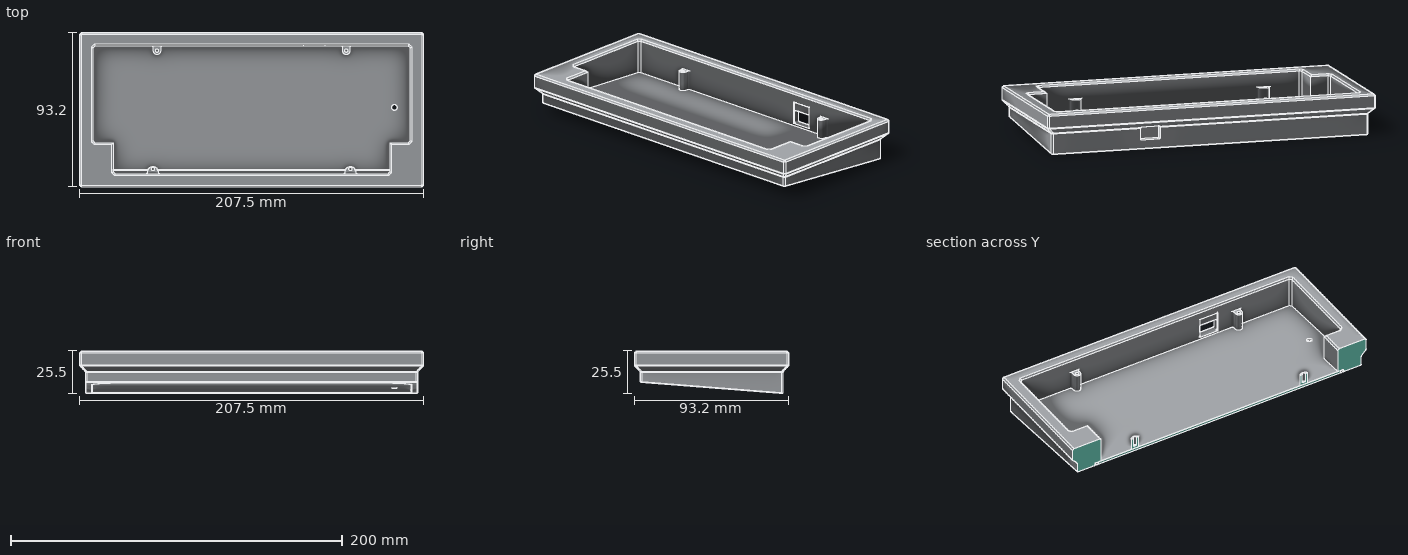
import cadquery as cq
import math

LENGTH = 207.5
DEPTH = 93.2
HEIGHT = 25.5

RIM_HEIGHT = 8.7
TAPER_HEIGHT = 3.7
TAPER_INSET = 3.5
EDGE_CHAMFER = 1.0
CORNER_CHAMFER = 1.0
BEND_CHAMFER = 0.35
UNDERSIDE_CHAMFER = 0.5
UNDERSIDE_TILT = 4.5
RIM_BOTTOM = HEIGHT - RIM_HEIGHT
BASE_BACK = DEPTH / 2 - TAPER_INSET

CAVITY_LENGTH = 191.4
CAVITY_DEPTH = 77.2
CAVITY_CORNER = 1.2
NOTCH_WIDTH = 12.2
NOTCH_DEPTH = 18.7
FLOOR_TILT = 3.3
FLOOR_BACK_HEIGHT = 4.2
CAVITY_BACK = CAVITY_DEPTH / 2
CAVITY_FRONT = -CAVITY_BACK
MOUTH_CHAMFER = 1.0

POST_TOP = 16.2
SCREW_DEPTH = 6.2
BACK_POST_X = 57.0
BACK_POST_Y = 35.7
BACK_POST_DIAMETER = 4.5
BACK_SCREW_DIAMETER = 2.0
FRONT_POST_X = 59.5
FRONT_POST_Y = -37.5
FRONT_POST_DIAMETER = 6.6
FRONT_SCREW_Y = -35.7
FRONT_SCREW_DIAMETER = 2.0
POST_FILLET = 1.0
POST_EMBEDDING = 1.0

PORT_X = 37.8
RECESS_WIDTH = 12.9
RECESS_BOTTOM = 5.6
RECESS_HEIGHT = 13.7
RECESS_DEPTH = 1.0
OPENING_WIDTH = 12.5
OPENING_HEIGHT = 8.0
OPENING_RADIUS = 0.8

PLATE_LENGTH = 193.5
PLATE_DEPTH = 73.9
PLATE_RADIUS = 14.5
PLATE_THICKNESS = 1.7
PLATE_GAP = 0.6

RESET_X = 86.1
RESET_Y = 1.5
RESET_DIAMETER = 3.3

EDGE_TOLERANCE = 0.2
SIDES = (-1, 1)


def tilted_plane(tilt, level_y, level):
    """Plane that rises toward the front by tilt degrees and has the height level at level_y."""
    slope = math.tan(math.radians(tilt))
    return cq.Plane(origin=(0, 0, level + level_y * slope), xDir=(1, 0, 0), normal=(0, slope, 1))


UNDERSIDE_PLANE = tilted_plane(UNDERSIDE_TILT, BASE_BACK - UNDERSIDE_CHAMFER, 0)
FLOOR_PLANE = tilted_plane(FLOOR_TILT, CAVITY_BACK, FLOOR_BACK_HEIGHT)
BURIED_PLANE = tilted_plane(FLOOR_TILT, CAVITY_BACK, FLOOR_BACK_HEIGHT - POST_EMBEDDING)


def above(plane):
    """Space on the upper side of a tilted plane."""
    return cq.Workplane(plane).rect(2 * LENGTH, 2 * DEPTH).extrude(3 * HEIGHT)


def clipped_rectangle(inset):
    """Outer outline moved inward by inset, with chamfered corners."""
    return (
        cq.Sketch()
        .rect(LENGTH - 2 * inset, DEPTH - 2 * inset)
        .vertices()
        .chamfer(CORNER_CHAMFER)
    )


def outer_body():
    rim = (
        cq.Workplane("XY", origin=(0, 0, RIM_BOTTOM))
        .placeSketch(clipped_rectangle(0))
        .extrude(RIM_HEIGHT)
        .faces(">Z")
        .chamfer(EDGE_CHAMFER)
    )
    taper = (
        cq.Workplane("XY", origin=(0, 0, RIM_BOTTOM - TAPER_HEIGHT))
        .placeSketch(
            clipped_rectangle(TAPER_INSET),
            clipped_rectangle(0).moved(cq.Location(cq.Vector(0, 0, TAPER_HEIGHT))),
        )
        .loft(ruled=True)
    )
    base = (
        cq.Workplane("XY", origin=(0, 0, RIM_BOTTOM - TAPER_HEIGHT))
        .placeSketch(clipped_rectangle(TAPER_INSET))
        .extrude(-HEIGHT)
    )
    base = base.intersect(above(UNDERSIDE_PLANE)).faces("<Z").chamfer(UNDERSIDE_CHAMFER)
    body = base.union(taper).union(rim)
    for bend_height in (RIM_BOTTOM, RIM_BOTTOM - TAPER_HEIGHT):
        body = body.edges(cq.selectors.BoxSelector(
            (-LENGTH, -DEPTH, bend_height - EDGE_TOLERANCE),
            (LENGTH, DEPTH, bend_height + EDGE_TOLERANCE),
        )).chamfer(BEND_CHAMFER)
    return body


def cavity_outline(grow):
    """Outline of the cavity, moved outward by grow; both front corners are stepped inward."""
    half = CAVITY_LENGTH / 2 + grow
    back = CAVITY_BACK + grow
    front = CAVITY_FRONT - grow
    notch_x = half - NOTCH_WIDTH
    notch_y = front + NOTCH_DEPTH
    corner = CAVITY_CORNER + grow * (2 - math.sqrt(2))
    right_side = [
        (notch_x - corner, front),
        (notch_x, front + corner),
        (notch_x, notch_y),
        (half - corner, notch_y),
        (half, notch_y + corner),
        (half, back - corner),
        (half - corner, back),
    ]
    left_side = [(-x, y) for x, y in reversed(right_side)]
    return right_side + left_side


def cavity():
    well = cq.Workplane("XY").polyline(cavity_outline(0)).close().extrude(HEIGHT)
    mouth = (
        cq.Workplane("XY", origin=(0, 0, HEIGHT - MOUTH_CHAMFER))
        .polyline(cavity_outline(0))
        .close()
        .workplane(offset=MOUTH_CHAMFER)
        .polyline(cavity_outline(MOUTH_CHAMFER))
        .close()
        .loft(ruled=True)
    )
    return well.union(mouth).intersect(above(FLOOR_PLANE))


def post(x, y, diameter, wall_y, screw_y, screw_diameter):
    """Screw post joined to the cavity wall at wall_y by a web that flares where it meets the wall."""
    outward = math.copysign(1, wall_y)
    radius = diameter / 2
    foot = radius + POST_FILLET
    neck_y = wall_y - outward * POST_FILLET
    buried_y = wall_y + outward * POST_FILLET
    bend = POST_FILLET * (1 - math.sqrt(0.5))
    bend_y = wall_y - outward * bend
    bar = (
        cq.Workplane("XY")
        .moveTo(x - radius, y)
        .lineTo(x - radius, neck_y)
        .threePointArc((x - radius - bend, bend_y), (x - foot, wall_y))
        .lineTo(x - foot, buried_y)
        .lineTo(x + foot, buried_y)
        .lineTo(x + foot, wall_y)
        .threePointArc((x + radius + bend, bend_y), (x + radius, neck_y))
        .lineTo(x + radius, y)
        .threePointArc((x, y - outward * radius), (x - radius, y))
        .close()
        .extrude(POST_TOP)
    )
    screw = (
        cq.Workplane("XY", origin=(x, screw_y, POST_TOP - SCREW_DEPTH))
        .circle(screw_diameter / 2)
        .extrude(SCREW_DEPTH)
    )
    return bar.cut(screw).intersect(above(BURIED_PLANE))


def port():
    recess = (
        cq.Workplane("XY", origin=(PORT_X, CAVITY_BACK, RECESS_BOTTOM))
        .rect(RECESS_WIDTH, 2 * RECESS_DEPTH)
        .extrude(RECESS_HEIGHT)
    )
    wall = DEPTH / 2 - CAVITY_BACK
    opening = (
        cq.Workplane("XY", origin=(PORT_X, CAVITY_BACK + wall / 2, RECESS_BOTTOM))
        .rect(OPENING_WIDTH, wall)
        .extrude(OPENING_HEIGHT)
        .edges("|Y")
        .fillet(OPENING_RADIUS)
    )
    return recess.union(opening)


def reset_hole():
    return cq.Workplane("XY").center(RESET_X, RESET_Y).circle(RESET_DIAMETER / 2).extrude(HEIGHT)


def plate_blank(clearance):
    """Plate shape with large front corners, moved inward by clearance along its outline."""
    blank = (
        cq.Workplane(UNDERSIDE_PLANE)
        .rect(PLATE_LENGTH - 2 * clearance, PLATE_DEPTH - 2 * clearance)
        .extrude(PLATE_THICKNESS)
    )
    upright = cq.selectors.ParallelDirSelector(UNDERSIDE_PLANE.zDir)
    return blank.faces("<Y").edges(upright).fillet(PLATE_RADIUS - clearance)


def make_case():
    case = outer_body().cut(cavity())
    for side in SIDES:
        case = case.union(
            post(side * BACK_POST_X, BACK_POST_Y, BACK_POST_DIAMETER, CAVITY_BACK,
                 BACK_POST_Y, BACK_SCREW_DIAMETER)
        )
        case = case.union(
            post(side * FRONT_POST_X, FRONT_POST_Y, FRONT_POST_DIAMETER, CAVITY_FRONT,
                 FRONT_SCREW_Y, FRONT_SCREW_DIAMETER)
        )
    return case.cut(port()).cut(plate_blank(0)).cut(reset_hole())


def make_bottom_plate():
    return plate_blank(PLATE_GAP).cut(reset_hole())


case = make_case()
bottom_plate = make_bottom_plate()
result = cq.Compound.makeCompound([case.val(), bottom_plate.val()])